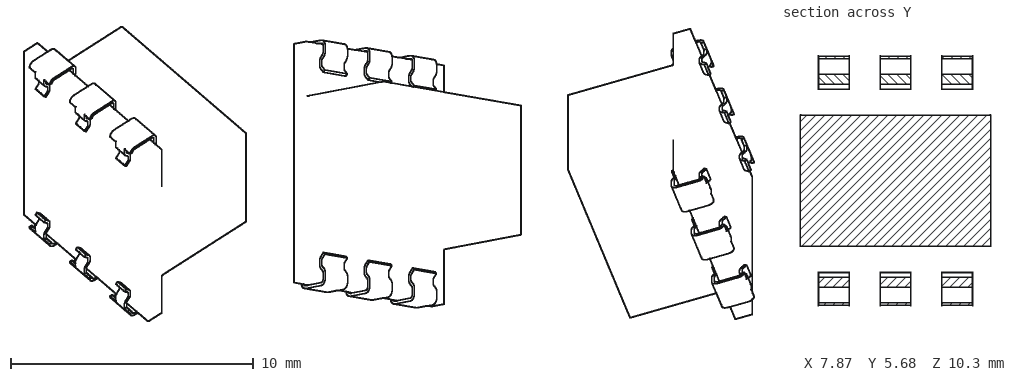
import cadquery as cq
import math

HOUSING_WIDTH = 7.87
OVERALL_DEPTH = 5.68
OVERALL_HEIGHT = 10.29
PLATE_THICKNESS = 0.76
BLOCK_HEIGHT = 5.43
EDGE_RADIUS = 0.03

SHEET = 0.12
RIM_GAP = 0.01
CLIP_SPAN = 1.42
CLIP_WIDTH = 1.28
FRONT_ARM_WIDTH = 0.56
CLIP_PITCH = 2.54
CLIPS_PER_RIM = 3
INNER_BEND_RADIUS = 0.13
ARM_STRAIGHT = 0.27
CONTACT_LENGTH = 0.14
TIP_LENGTH = 0.22
KNEE_ANGLE = 45.0

PLATE_HEIGHT = OVERALL_HEIGHT - 2 * (SHEET + RIM_GAP)
BLOCK_BACK = OVERALL_DEPTH - CLIP_SPAN / 2
OUTER_BEND_RADIUS = INNER_BEND_RADIUS + SHEET
MID_BEND_RADIUS = INNER_BEND_RADIUS + SHEET / 2

knee = math.radians(KNEE_ANGLE)
arm_shift = (CLIP_SPAN - PLATE_THICKNESS) / 2 - SHEET
SLOPE_LENGTH = (arm_shift - 2 * MID_BEND_RADIUS * (1 - math.cos(knee))) / math.sin(knee)

ARM_STEPS = [
    (CLIP_SPAN / 2 - OUTER_BEND_RADIUS, 90.0),
    (ARM_STRAIGHT, KNEE_ANGLE),
    (SLOPE_LENGTH, -KNEE_ANGLE),
    (CONTACT_LENGTH, -KNEE_ANGLE),
    (TIP_LENGTH, 0.0),
]


def make_housing():
    """T-shaped bar along X with all its edges slightly rounded."""
    plate = cq.Workplane("XY").box(HOUSING_WIDTH, PLATE_THICKNESS, PLATE_HEIGHT)
    block = (
        cq.Workplane("XY")
        .box(HOUSING_WIDTH, BLOCK_BACK, BLOCK_HEIGHT)
        .translate((0, BLOCK_BACK / 2, 0))
    )
    return plate.union(block).clean().edges().fillet(EDGE_RADIUS)


def strip_face_steps(offset):
    """Steps (middle point, end point) along one face of the strip.

    The face lies at the given offset from the strip's middle line, positive toward
    the plate. A straight step has no middle point.
    """
    y = 0.0
    z = (OVERALL_HEIGHT - SHEET) / 2
    heading = 0.0

    def face_point():
        return (y + offset * math.sin(heading), z - offset * math.cos(heading))

    steps = [(None, face_point())]
    for length, bend in ARM_STEPS:
        y += length * math.cos(heading)
        z += length * math.sin(heading)
        steps.append((None, face_point()))
        if not bend:
            continue
        half_bend = -math.radians(bend) / 2
        chord = 2 * MID_BEND_RADIUS * math.sin(abs(half_bend) / 2)
        arc_points = []
        for _ in range(2):
            y += chord * math.cos(heading + half_bend / 2)
            z += chord * math.sin(heading + half_bend / 2)
            heading += half_bend
            arc_points.append(face_point())
        steps.append(tuple(arc_points))
    return steps


def trace(path, steps):
    """Continue a path along the given steps."""
    for middle, end in steps:
        path = path.threePointArc(middle, end) if middle else path.lineTo(*end)
    return path


def reverse_steps(steps):
    """The same steps walked from the last point back to the first."""
    return [(steps[i][0], steps[i - 1][1]) for i in range(len(steps) - 1, 0, -1)]


def make_arm(width):
    """Half of a clip on the +Y side, centred on X, with the same width throughout."""
    outer = strip_face_steps(-SHEET / 2)
    inner = strip_face_steps(SHEET / 2)
    path = cq.Workplane("YZ").moveTo(*outer[0][1])
    path = trace(path, outer[1:])
    path = path.lineTo(*inner[-1][1])
    path = trace(path, reverse_steps(inner))
    return path.close().extrude(width / 2, both=True)


def make_clip():
    """Clip on the top rim: full-width back arm, front arm narrowed below its bend."""
    wide_half = make_arm(CLIP_WIDTH)
    bend_zone = (
        cq.Workplane("XY")
        .box(CLIP_WIDTH, CLIP_SPAN, OUTER_BEND_RADIUS)
        .translate((0, 0, (OVERALL_HEIGHT - OUTER_BEND_RADIUS) / 2))
    )
    narrowed_half = wide_half.intersect(bend_zone).union(make_arm(FRONT_ARM_WIDTH))
    return wide_half.union(narrowed_half.mirror("XZ"))


housing = make_housing()

top_clip = make_clip()
bottom_clip = top_clip.mirror("XY")
clips = []
for index in range(CLIPS_PER_RIM):
    clip_x = (index - (CLIPS_PER_RIM - 1) / 2) * CLIP_PITCH
    for clip in (top_clip, bottom_clip):
        clips.append(clip.translate((clip_x, 0, 0)).val())

result = cq.Compound.makeCompound([housing.val(), *clips])